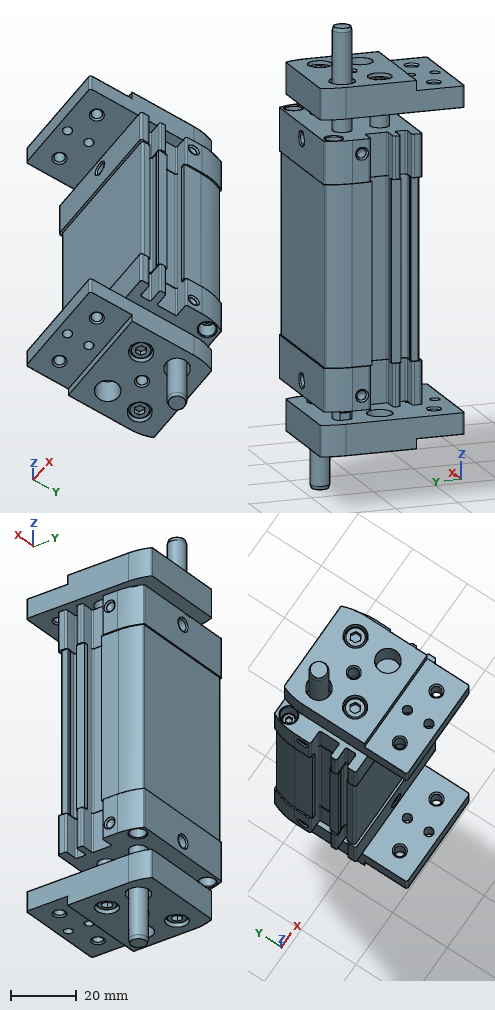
import cadquery as cq
import math


HOUSING_LENGTH = 85.5
HOUSING_WIDTH = 44.0
HOUSING_DEPTH = 31.1
CAP_LENGTH = 13.7
TUBE_INSET = 0.5
TUBE_FRONT_INSET = 0.8
BACK_RADIUS = 20.0
BACK_ARC_DEPTH = 8.6
EDGE_FILLET = 0.8
BACK_CORNER_FILLET = 0.5

CAP_GROOVE_FLOOR_X = 16.9
TUBE_GROOVE_FLOOR_X = 16.8
GROOVE_Y = -18.1
GROOVE_WIDTH = 7.2
GROOVE_MOUTH = 6.3
SLOT_Y = -26.0
CAP_SLOT_WIDTH = 3.8
TUBE_SLOT_WIDTH = 3.5
SLOT_MOUTH = 3.2
LIP_THICKNESS = 1.4
GROOVE_MOUTH_FILLET = 0.6
GROOVE_FLOOR_FILLET = 0.5
CAP_SLOT_FLOOR_FILLET = 0.6

PORT_Z = 38.2
PORT_DIAMETER = 4.1
PORT_COUNTERSINK = 5.0
SIDE_HOLE_Y = -11.6
SIDE_HOLE_DIAMETER = 3.0
SIDE_HOLE_COUNTERSINK = 4.1
SIDE_HOLE_DEPTH = 0.6
SIDE_HOLE_CONE_DEPTH = 0.8
CAP_SCREW_X = 18.0
CAP_SCREW_Y = -4.0
CAP_SCREW_RECESS = 5.5
CAP_SCREW_COUNTERSINK = 6.0
CAP_SCREW_RECESS_DEPTH = 7.5
CAP_SCREW_HEAD = 4.5
CAP_SCREW_HEAD_HEIGHT = 3.0
CAP_SCREW_SOCKET = 2.3

ROD_DIAMETER = 6.0
LONG_ROD_X = 10.0
LONG_ROD_Y = -9.5
SHORT_ROD_X = -8.9
SHORT_ROD_Y = -22.0
ROD_END_Z = -75.5
SHORT_ROD_END_Z = 0.0
ROD_TIP_LENGTH = 1.2
ROD_TIP_INSET = 0.38
FLAT_DEPTH = 0.5
LONG_FLAT_LENGTH = 2.3
SHORT_FLAT_LENGTH = 0.9

PLATE_BOTTOM_Z = 48.2
PLATE_THICKNESS = 10.0
PLATE_WIDTH = 34.1
PLATE_BACK_Y = -0.5
PLATE_FRONT_Y = -46.5
PLATE_BACK_ARC_DEPTH = 7.7
STEP_Y = -31.0
STEP_HEIGHT = 3.2
PLATE_EDGE_FILLET = 0.8
ROD_CLEARANCE = 8.0
PLATE_SCREW_RECESS = 7.5
PLATE_SCREW_RECESS_DEPTH = 4.5
PLATE_SCREW_HEAD = 6.8
PLATE_SCREW_HEAD_HEIGHT = 3.6
PLATE_SCREW_SOCKET = 3.6
TAPPED_DIAMETER = 3.5
TAPPED_COUNTERSINK = 4.5
MIDDLE_HOLE_Y = -15.5
FRONT_TAPPED_X = 10.0
FRONT_TAPPED_Y = -39.1
DOWEL_DIAMETER = 3.0
DOWEL_Y = (-35.2, -43.0)

HALF_LENGTH = HOUSING_LENGTH / 2
HALF_WIDTH = HOUSING_WIDTH / 2
TUBE_LENGTH = HOUSING_LENGTH - 2 * CAP_LENGTH
PLATE_TOP_Z = PLATE_BOTTOM_Z + PLATE_THICKNESS
RIGHT_ANGLE = 90
SCREW_HEAD_CHAMFER = 0.5


def rounded_back_block(half_width, back_y, front_y, arc_depth, bottom_z, height):
    """Block along Z whose two back corners are large arcs that run tangent into the sides."""
    def arc_inset(depth):
        return BACK_RADIUS - math.sqrt(BACK_RADIUS**2 - depth**2)

    corner_x = half_width - arc_inset(arc_depth)
    middle_x = half_width - arc_inset(arc_depth / 2)
    arc_y = back_y - arc_depth
    middle_y = back_y - arc_depth / 2
    return (
        cq.Workplane("XY", origin=(0, 0, bottom_z))
        .moveTo(-half_width, front_y)
        .lineTo(half_width, front_y)
        .lineTo(half_width, arc_y)
        .threePointArc((middle_x, middle_y), (corner_x, back_y))
        .lineTo(-corner_x, back_y)
        .threePointArc((-middle_x, middle_y), (-half_width, arc_y))
        .close()
        .extrude(height)
        .edges("|Z and >Y")
        .fillet(BACK_CORNER_FILLET)
    )


def cylinder(x, y, bottom_z, diameter, height):
    return cq.Workplane("XY", origin=(x, y, bottom_z)).circle(diameter / 2).extrude(height)


def square_groove(floor_x, y, width, floor_fillet):
    """Cutter along Z for a groove in the +X side, with the two edges along its floor rounded."""
    bar_depth = HOUSING_WIDTH - floor_x
    bar = cq.Workplane("XY").box(bar_depth, width, HOUSING_LENGTH).translate((floor_x + bar_depth / 2, y, 0))
    return bar.edges("|Z and <X").fillet(floor_fillet)


def round_slot(floor_x, y, width):
    """Cutter along Z for a slot in the +X side, with a full round along its floor."""
    round_x = floor_x + width / 2
    bar_depth = HOUSING_WIDTH - round_x
    bar = cq.Workplane("XY").box(bar_depth, width, HOUSING_LENGTH).translate((round_x + bar_depth / 2, y, 0))
    return bar.union(cylinder(round_x, y, -HALF_LENGTH, width, HOUSING_LENGTH))


def cut_both_sides(body, cutter):
    return body.cut(cutter).cut(cutter.mirror("YZ"))


def socket_head(x, y, bottom_z, head, height, socket):
    """Screw head with a hexagon socket, standing on the floor of its recess."""
    recess = (
        cq.Workplane("XY", origin=(x, y, bottom_z + height / 2))
        .transformed(rotate=(0, 0, RIGHT_ANGLE))
        .polygon(6, socket)
        .extrude(height / 2)
    )
    body = cylinder(x, y, bottom_z, head, height).faces(">Z").edges().chamfer(SCREW_HEAD_CHAMFER)
    return body.cut(recess)


def countersunk_hole(x, y, top_z, depth, diameter, countersink):
    """Cutter for a hole down from top_z with a 45 degree countersink at both ends."""
    rim = (countersink - diameter) / 2
    profile = (
        cq.Workplane("XZ")
        .polyline([
            (0, 0),
            (countersink / 2, 0),
            (diameter / 2, -rim),
            (diameter / 2, rim - depth),
            (countersink / 2, -depth),
            (0, -depth),
        ])
        .close()
    )
    return profile.revolve(axisStart=(0, 0), axisEnd=(0, 1)).translate((x, y, top_z))


def make_tube():
    half_width = HALF_WIDTH - TUBE_INSET
    bottom_z = -TUBE_LENGTH / 2
    tube = rounded_back_block(
        half_width, -TUBE_INSET, TUBE_FRONT_INSET - HOUSING_DEPTH, BACK_ARC_DEPTH - TUBE_INSET, bottom_z, TUBE_LENGTH
    )
    tube = tube.edges("|Z and <Y").fillet(EDGE_FILLET)
    inside_lips = cq.Workplane("XY").box(2 * (half_width - LIP_THICKNESS), 2 * HOUSING_DEPTH, TUBE_LENGTH)
    groove = square_groove(TUBE_GROOVE_FLOOR_X, GROOVE_Y, GROOVE_WIDTH, GROOVE_FLOOR_FILLET)
    slot = round_slot(TUBE_GROOVE_FLOOR_X, SLOT_Y, TUBE_SLOT_WIDTH)
    for cutter, y, mouth in ((groove, GROOVE_Y, GROOVE_MOUTH), (slot, SLOT_Y, SLOT_MOUTH)):
        opening = cq.Workplane("XY").box(2 * LIP_THICKNESS, mouth, TUBE_LENGTH).translate((half_width, y, 0))
        tube = cut_both_sides(tube, cutter.intersect(inside_lips))
        tube = cut_both_sides(tube, opening)
    return tube


def make_top_cap():
    bottom_z = HALF_LENGTH - CAP_LENGTH
    cap = rounded_back_block(HALF_WIDTH, 0, -HOUSING_DEPTH, BACK_ARC_DEPTH, bottom_z, CAP_LENGTH)
    cap = cut_both_sides(cap, square_groove(CAP_GROOVE_FLOOR_X, GROOVE_Y, GROOVE_WIDTH, GROOVE_FLOOR_FILLET))
    cap = cut_both_sides(cap, square_groove(CAP_GROOVE_FLOOR_X, SLOT_Y, CAP_SLOT_WIDTH, CAP_SLOT_FLOOR_FILLET))
    cap = cap.edges("|Z and <Y").fillet(EDGE_FILLET)
    for side in (-1, 1):
        mouth_region = cq.selectors.BoxSelector(
            (side * (HALF_WIDTH - EDGE_FILLET), GROOVE_Y + GROOVE_WIDTH, bottom_z),
            (side * HOUSING_WIDTH, SLOT_Y - CAP_SLOT_WIDTH, HALF_LENGTH),
        )
        cap = cap.edges("|Z").edges(mouth_region).fillet(GROOVE_MOUTH_FILLET)

    port = countersunk_hole(0, 0, 0, HOUSING_DEPTH, PORT_DIAMETER, PORT_COUNTERSINK)
    port = port.rotate((0, 0, 0), (1, 0, 0), -RIGHT_ANGLE).translate((0, 0, PORT_Z))
    cap = cap.cut(port)

    cap = cut_both_sides(cap, side_hole())

    for side in (-1, 1):
        recess_floor = HALF_LENGTH - CAP_SCREW_RECESS_DEPTH
        screw_at = (side * CAP_SCREW_X, CAP_SCREW_Y, recess_floor)
        recess = cylinder(*screw_at, CAP_SCREW_RECESS, CAP_SCREW_RECESS_DEPTH)
        rim = (CAP_SCREW_COUNTERSINK - CAP_SCREW_RECESS) / 2
        rim_cutter = (
            cq.Workplane("XY", origin=(*screw_at[:2], HALF_LENGTH))
            .circle(CAP_SCREW_COUNTERSINK / 2)
            .workplane(offset=-rim)
            .circle(CAP_SCREW_RECESS / 2)
            .loft()
        )
        cap = cap.cut(recess).cut(rim_cutter)
        cap = cap.union(socket_head(*screw_at, CAP_SCREW_HEAD, CAP_SCREW_HEAD_HEIGHT, CAP_SCREW_SOCKET))
    return cap


def side_hole():
    """Cutter for a small countersunk hole with a conical bottom in the +X side of the cap."""
    rim = (SIDE_HOLE_COUNTERSINK - SIDE_HOLE_DIAMETER) / 2
    radius = SIDE_HOLE_DIAMETER / 2
    straight_x = HALF_WIDTH - rim
    bottom_x = HALF_WIDTH - SIDE_HOLE_DEPTH
    profile = (
        cq.Workplane("XY")
        .polyline([
            (HALF_WIDTH, 0),
            (HALF_WIDTH, SIDE_HOLE_COUNTERSINK / 2),
            (straight_x, radius),
            (bottom_x, radius),
            (bottom_x - SIDE_HOLE_CONE_DEPTH, 0),
        ])
        .close()
    )
    return profile.revolve(axisStart=(0, 0), axisEnd=(1, 0)).translate((0, SIDE_HOLE_Y, PORT_Z))


def turned_over(body):
    """The same body turned half a turn about the Y axis, to serve the other end."""
    return body.rotate((0, 0, 0), (0, 1, 0), 2 * RIGHT_ANGLE)


def make_housing():
    cap = make_top_cap()
    housing = make_tube().union(cap).union(turned_over(cap))
    long_bore = cylinder(LONG_ROD_X, LONG_ROD_Y, -HALF_LENGTH, ROD_DIAMETER, HOUSING_LENGTH)
    short_bore = cylinder(
        SHORT_ROD_X, SHORT_ROD_Y, SHORT_ROD_END_Z, ROD_DIAMETER, HALF_LENGTH - SHORT_ROD_END_Z
    )
    for bore in (long_bore, short_bore):
        housing = housing.cut(bore).cut(turned_over(bore))
    return housing


def make_rod(x, y, end_z, flat_length):
    """Rod down from the plate, with two wrench flats just below the plate that run out at 45 degrees."""
    rod = cylinder(x, y, end_z, ROD_DIAMETER, PLATE_BOTTOM_Z - end_z)
    flat_x = ROD_DIAMETER / 2 - FLAT_DEPTH
    flat = (
        cq.Workplane("XZ")
        .polyline([
            (flat_x, 0),
            (flat_x + FLAT_DEPTH, 0),
            (flat_x + FLAT_DEPTH, -flat_length - FLAT_DEPTH),
            (flat_x, -flat_length),
        ])
        .close()
        .extrude(ROD_DIAMETER / 2, both=True)
    )
    for cutter in (flat, flat.mirror("YZ")):
        rod = rod.cut(cutter.translate((x, y, PLATE_BOTTOM_Z)))
    return rod


def make_plate():
    plate = rounded_back_block(
        PLATE_WIDTH / 2, PLATE_BACK_Y, PLATE_FRONT_Y, PLATE_BACK_ARC_DEPTH, PLATE_BOTTOM_Z, PLATE_THICKNESS
    )
    plate = plate.edges("|Z and <Y").fillet(PLATE_EDGE_FILLET)
    step_depth = STEP_Y - PLATE_FRONT_Y
    step = cq.Workplane("XY", origin=(0, STEP_Y - step_depth / 2, PLATE_TOP_Z - STEP_HEIGHT)).rect(
        PLATE_WIDTH, step_depth
    ).extrude(STEP_HEIGHT)
    plate = plate.cut(step)

    for x, y in ((-LONG_ROD_X, LONG_ROD_Y), (-SHORT_ROD_X, SHORT_ROD_Y)):
        plate = plate.cut(cylinder(x, y, PLATE_BOTTOM_Z, ROD_CLEARANCE, PLATE_THICKNESS))

    for x, y in ((LONG_ROD_X, LONG_ROD_Y), (SHORT_ROD_X, SHORT_ROD_Y)):
        screw_at = (x, y, PLATE_TOP_Z - PLATE_SCREW_RECESS_DEPTH)
        plate = plate.cut(cylinder(*screw_at, PLATE_SCREW_RECESS, PLATE_SCREW_RECESS_DEPTH))
        plate = plate.union(
            socket_head(*screw_at, PLATE_SCREW_HEAD, PLATE_SCREW_HEAD_HEIGHT, PLATE_SCREW_SOCKET)
        )

    plate = plate.cut(
        countersunk_hole(0, MIDDLE_HOLE_Y, PLATE_TOP_Z, PLATE_THICKNESS, TAPPED_DIAMETER, TAPPED_COUNTERSINK)
    )
    ledge_z = PLATE_TOP_Z - STEP_HEIGHT
    ledge_thickness = PLATE_THICKNESS - STEP_HEIGHT
    for x in (-FRONT_TAPPED_X, FRONT_TAPPED_X):
        plate = plate.cut(
            countersunk_hole(x, FRONT_TAPPED_Y, ledge_z, ledge_thickness, TAPPED_DIAMETER, TAPPED_COUNTERSINK)
        )
    for y in DOWEL_Y:
        plate = plate.cut(cylinder(0, y, PLATE_BOTTOM_Z, DOWEL_DIAMETER, ledge_thickness))
    return plate


def make_slide():
    long_rod = make_rod(LONG_ROD_X, LONG_ROD_Y, ROD_END_Z, LONG_FLAT_LENGTH)
    long_rod = long_rod.faces("<Z").edges().chamfer(ROD_TIP_LENGTH, ROD_TIP_INSET)
    short_rod = make_rod(SHORT_ROD_X, SHORT_ROD_Y, SHORT_ROD_END_Z, SHORT_FLAT_LENGTH)
    return make_plate().union(long_rod).union(short_rod)


housing = make_housing()
slides = []
for placed in (lambda body: body, turned_over):
    slides.append(placed(make_slide()).val())

result = cq.Compound.makeCompound([housing.val(), *slides])